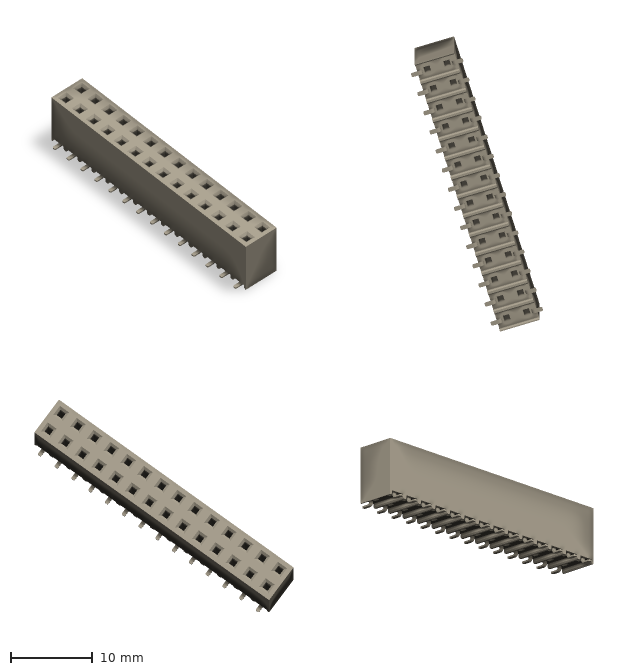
import cadquery as cq

pitch = 2.54
columns = 14
rows = 2

overall_height = 7.4
standoff = 0.12
length = columns * pitch
width = rows * pitch

groove_top = 0.67
rib_width = 0.6
rib_chamfer = 0.16
groove_width = pitch - rib_width

socket_mouth = 1.4
socket_throat = 0.8
mouth_depth = 0.3

tail_span = 6.6
tail_width = 0.5
tail_thickness = 0.2
tail_inner_y = 1.9
tail_bend_radius = 0.25
tip_radius = 0.15

column_x = [(i - (columns - 1) / 2) * pitch for i in range(columns)]
row_y = [(j - (rows - 1) / 2) * pitch for j in range(rows)]
socket_centres = [(x, y) for x in column_x for y in row_y]


def make_housing():
    """Plain block from the rib bottoms to the top face."""
    return (
        cq.Workplane("XY")
        .workplane(offset=standoff)
        .rect(length, width)
        .extrude(overall_height - standoff)
    )


def make_groove(x):
    """Full-width groove under one column, flared at its mouth by the rib chamfers."""
    half_top = groove_width / 2
    half_mouth = half_top + rib_chamfer
    return (
        cq.Workplane("XZ", origin=(x, width / 2, 0))
        .moveTo(-half_mouth, standoff)
        .lineTo(-half_top, standoff + rib_chamfer)
        .lineTo(-half_top, groove_top)
        .lineTo(half_top, groove_top)
        .lineTo(half_top, standoff + rib_chamfer)
        .lineTo(half_mouth, standoff)
        .close()
        .extrude(width)
    )


def make_socket(x, y):
    """Square through hole with a tapered lead-in at the top face."""
    throat = (
        cq.Workplane("XY", origin=(x, y, 0))
        .rect(socket_throat, socket_throat)
        .extrude(overall_height)
    )
    lead_in = (
        cq.Workplane("XY", origin=(x, y, overall_height - mouth_depth))
        .rect(socket_throat, socket_throat)
        .workplane(offset=mouth_depth)
        .rect(socket_mouth, socket_mouth)
        .loft(ruled=True)
    )
    return throat.union(lead_in)


def make_tail(x, side):
    """Bent strip: a leg down from the housing and a foot running outward (side is +1 or -1)."""
    inner = side * tail_inner_y
    leg_outer = side * (tail_inner_y + tail_thickness)
    tip = side * tail_span / 2
    strip = (
        cq.Workplane("YZ", origin=(x - tail_width / 2, 0, 0))
        .moveTo(inner, 0)
        .lineTo(tip, 0)
        .lineTo(tip, tail_thickness)
        .lineTo(leg_outer, tail_thickness)
        .lineTo(leg_outer, groove_top)
        .lineTo(inner, groove_top)
        .close()
        .extrude(tail_width)
    )
    bend = cq.selectors.NearestToPointSelector((x, leg_outer, tail_thickness))
    tip_edges = strip.faces(">Y" if side > 0 else "<Y").edges("|Z")
    heel = cq.selectors.NearestToPointSelector((x, inner, 0))
    return (
        tip_edges.fillet(tip_radius)
        .edges(bend).fillet(tail_bend_radius)
        .edges(heel).fillet(tail_bend_radius + tail_thickness)
    )


housing = make_housing()
for x in column_x:
    housing = housing.cut(make_groove(x))
for x, y in socket_centres:
    housing = housing.cut(make_socket(x, y))

result = housing
for x in column_x:
    for side in (-1, 1):
        result = result.union(make_tail(x, side))